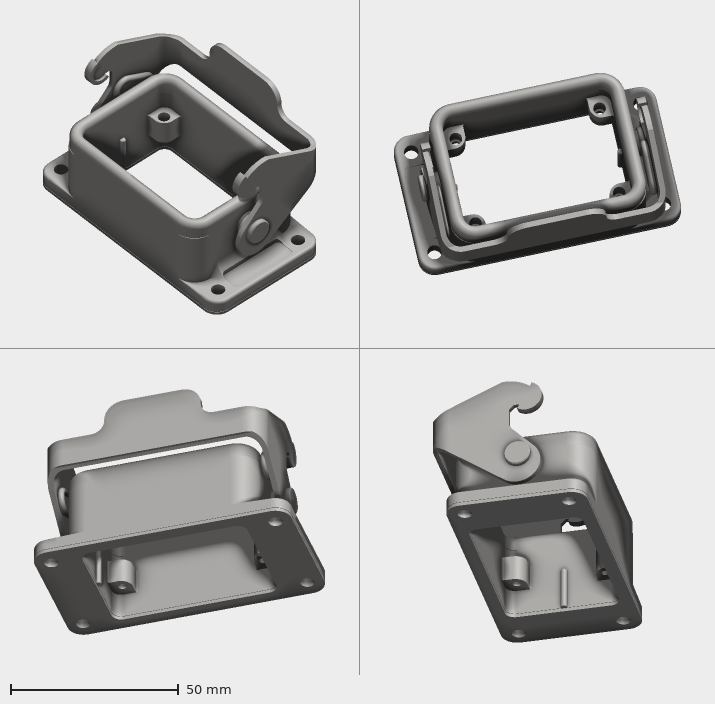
import cadquery as cq
import math


flange_length = 80.0
depth = 43.0
flange_top = 5.2
flange_corner = 5.0
flange_edge_round = 1.0
mount_hole_dia = 4.3
mount_x, mount_y = 35.0, 16.0

gasket_height = 1.0
groove_top = 1.2
groove_depth = 0.2

wall_length = 59.5
wall = 4.1
wall_corner = 7.0
rim_bottom, rim_top = 23.2, 28.6
rim_corner = 7.5

boss_x, boss_y = 21.9, 13.5
boss_reach = 3.0
boss_corner = 3.6
boss_bottom, boss_top = 9.2, 17.2
boss_flare = 0.6
screw_bore_dia, screw_hole_dia = 3.8, 2.5
screw_bore_depth = 6.4

peg_dia, peg_top = 2.0, 14.3
peg_x = 25.4
peg_tip_round = 0.5

ramp_size = 5.0
ramp_half_width = 11.5

recess_inner_x, recess_outer_x = 31.3, 38.4
recess_width = 23.0
recess_depth = 0.2
recess_corner = 1.4

pin_z, pin_dia = 19.0, 8.0
pin_outer_x = 35.8
pin_chamfer = 0.3
collar_dia, collar_inner_x, collar_round = 9.6, 30.9, 0.7

sheet = 1.7
lever_outer_x = 34.2
lever_back_y = 27.3
bend_radius = 6.1
eye_y, eye_z, eye_radius = 0.2, 16.6, 7.0
lower_edge_angle = math.radians(35.2)
back_lower_z, shoulder_z = 26.7, 36.2
shoulder_y = 25.0
peak_y, peak_z = 4.8, 45.0
peak_flat = 1.4
brow_y, brow_z = -0.4, 44.2
throat_y, throat_top_z = 2.7, 36.5
throat_chamfer = 1.5
throat_round = 3.2

hook_y, hook_z = -2.5, 39.2
hook_radius, hook_core_radius = 4.8, 3.4
hook_inner_x = 31.7
hook_start, hook_end = math.radians(111), math.radians(305)

tab_top, tab_half_width = 46.6, 15.0
tab_round, tab_fillet = 5.9, 4.1

ring_front_y, ring_front_z = 6.5, 26.6
ring_back_y, ring_back_z = 13.8, 23.4
ring_dia, ring_wire = 8.6, 2.0
ring_embed = 0.1
plug_dia, plug_height = 4.5, 1.0

taper_tip = 0.02

lever_inner_x = lever_outer_x - sheet
half_depth = depth / 2
inner_half_length = wall_length / 2 - wall
inner_half_depth = half_depth - wall
SIDES = (-1, 1)
CORNERS = [(sx, sy) for sx in SIDES for sy in SIDES]


def rounded_block(length, width, corner, bottom, top):
    block = cq.Workplane("XY").workplane(offset=bottom).rect(length, width).extrude(top - bottom)
    return block.edges("|Z").fillet(corner)


def spandrel(corner, dir_a, dir_b, size):
    """Wire around the space between a square corner and a tangent quarter arc."""
    near = cq.Vector(*corner)
    leg_a = cq.Vector(*dir_a) * size
    leg_b = cq.Vector(*dir_b) * size
    middle = near + (leg_a + leg_b) * (1 - math.sqrt(0.5))
    return cq.Wire.assembleEdges([
        cq.Edge.makeLine(near, near + leg_a),
        cq.Edge.makeThreePointArc(near + leg_a, middle, near + leg_b),
        cq.Edge.makeLine(near + leg_b, near),
    ])


def spandrel_bar(start, end, dir_a, dir_b, size, end_scale=1.0):
    """Fillet-shaped bar along an inside corner, optionally tapering towards its end."""
    wires = [spandrel(start, dir_a, dir_b, size), spandrel(end, dir_a, dir_b, size * end_scale)]
    return cq.Workplane(cq.Solid.makeLoft(wires, True))


def make_flange():
    gasket = rounded_block(flange_length, depth, flange_corner, 0, gasket_height)
    groove_core = rounded_block(flange_length - 2 * groove_depth, depth - 2 * groove_depth,
                                flange_corner - groove_depth, gasket_height, groove_top)
    plate = rounded_block(flange_length, depth, flange_corner, groove_top, flange_top)
    plate = plate.faces(">Z").edges().fillet(flange_edge_round)

    straight_half = flange_length / 2 - flange_corner
    long_sides = (cq.Workplane("XY").workplane(offset=groove_top)
                  .rect(2 * straight_half, depth).extrude(flange_top - groove_top))
    fade_end_x = wall_length / 2 - wall_corner
    for sx, sy in CORNERS:
        fade = spandrel_bar((sx * straight_half, sy * half_depth, flange_top),
                            (sx * fade_end_x, sy * half_depth, flange_top),
                            (0, -sy, 0), (0, 0, -1), flange_edge_round, taper_tip)
        long_sides = long_sides.cut(fade)
    return gasket.union(groove_core).union(plate).union(long_sides)


def make_ramp(side):
    wall_x = side * wall_length / 2
    outward, upward = (side, 0, 0), (0, 0, 1)
    ramp = spandrel_bar((wall_x, -ramp_half_width, flange_top), (wall_x, ramp_half_width, flange_top),
                        outward, upward, ramp_size)
    for sy in SIDES:
        ramp_end = spandrel_bar((wall_x, sy * ramp_half_width, flange_top),
                                (wall_x, sy * (half_depth - wall_corner), flange_top),
                                outward, upward, ramp_size, taper_tip)
        ramp = ramp.union(ramp_end)
    return ramp


def make_marking_recess():
    length = recess_outer_x - recess_inner_x
    return (cq.Workplane("XY").workplane(offset=flange_top - recess_depth)
            .center((recess_inner_x + recess_outer_x) / 2, 0)
            .rect(length, recess_width).extrude(ramp_size + recess_depth)
            .edges("|Z").fillet(recess_corner))


def make_shell():
    walls = rounded_block(wall_length, depth, wall_corner, groove_top, rim_bottom)
    shell = make_flange().union(walls)
    for side in SIDES:
        shell = shell.union(make_ramp(side))
    shell = shell.cut(make_marking_recess())

    opening = rounded_block(2 * inner_half_length, 2 * inner_half_depth, wall_corner - wall,
                            0, rim_bottom)
    inner_groove = rounded_block(2 * (inner_half_length + groove_depth),
                                 2 * (inner_half_depth + groove_depth),
                                 wall_corner - wall + groove_depth, gasket_height, groove_top)
    mount_holes = (cq.Workplane("XY").rect(2 * mount_x, 2 * mount_y, forConstruction=True)
                   .vertices().circle(mount_hole_dia / 2).extrude(flange_top))
    shell = shell.cut(opening).cut(inner_groove).cut(mount_holes)

    return shell.union(make_rim())


def make_rim():
    """Upper part of the walls, fully rounded over its top."""
    half_wall = wall / 2
    middle_y = half_depth - half_wall
    path = (rounded_block(wall_length - wall, depth - wall, rim_corner - half_wall, rim_bottom, rim_top)
            .faces("<Z").wires().val())
    return (cq.Workplane("YZ")
            .moveTo(middle_y - half_wall, rim_bottom)
            .lineTo(middle_y - half_wall, rim_top - half_wall)
            .threePointArc((middle_y, rim_top), (middle_y + half_wall, rim_top - half_wall))
            .lineTo(middle_y + half_wall, rim_bottom)
            .close().sweep(path))


def make_boss(sx, sy):
    """Corner boss for a contact insert screw, flared where it meets the walls."""
    height = boss_top - boss_bottom
    face_x, face_y = boss_x - boss_reach, boss_y - boss_reach
    root_x, root_y = inner_half_length + wall / 4, inner_half_depth + wall / 4
    boss = (cq.Workplane("XY").workplane(offset=boss_bottom)
            .moveTo(sx * root_x, sy * root_y)
            .lineTo(sx * root_x, sy * face_y)
            .lineTo(sx * (face_x + boss_corner), sy * face_y)
            .radiusArc((sx * face_x, sy * (face_y + boss_corner)), sx * sy * boss_corner)
            .lineTo(sx * face_x, sy * root_y)
            .close().extrude(height))
    for x, y in ((face_x, inner_half_depth), (inner_half_length, face_y)):
        flare = spandrel_bar((sx * x, sy * y, boss_bottom), (sx * x, sy * y, boss_top),
                             (-sx, 0, 0), (0, -sy, 0), boss_flare)
        boss = boss.union(flare)
    top = cq.Workplane("XY", origin=(sx * boss_x, sy * boss_y, boss_top))
    bore = top.circle(screw_bore_dia / 2).extrude(-screw_bore_depth)
    hole = top.circle(screw_hole_dia / 2).extrude(-height)
    return boss.cut(bore).cut(hole)


def make_peg(side):
    return (cq.Workplane("XY", origin=(side * peg_x, 0, groove_top))
            .circle(peg_dia / 2).extrude(peg_top - groove_top)
            .faces(">Z").edges().fillet(peg_tip_round))


def make_pin(side):
    """Hinge pin from the end wall through the lever arm, with a rounded collar between them."""
    root_x = wall_length / 2 - wall / 4
    outer_face = ">X" if side > 0 else "<X"
    pin = (cq.Workplane("YZ", origin=(side * root_x, 0, pin_z))
           .circle(pin_dia / 2).extrude(side * (pin_outer_x - root_x))
           .faces(outer_face).edges().chamfer(pin_chamfer))
    collar = (cq.Workplane("YZ", origin=(side * collar_inner_x, 0, pin_z))
              .circle(collar_dia / 2).extrude(side * (lever_inner_x - collar_inner_x))
              .edges().fillet(collar_round))
    return pin.union(collar)


def polar(radius, angle):
    return (hook_y + radius * math.cos(angle), hook_z + radius * math.sin(angle))


def make_lever_sheet():
    """U-shaped strip with the arm outline, plus the finger tab on its back."""
    strip = (cq.Workplane("XY")
             .rect(2 * lever_outer_x, 2 * lever_back_y).extrude(tab_top)
             .edges("|Z and >Y").fillet(bend_radius))
    hollow = (cq.Workplane("XY")
              .rect(2 * lever_inner_x, 2 * (lever_back_y - sheet)).extrude(tab_top)
              .edges("|Z and >Y").fillet(bend_radius - sheet))
    strip = strip.cut(hollow.union(hollow.translate((0, -lever_back_y, 0))))

    bend_y = lever_back_y - bend_radius
    lower_tangent = (eye_y + eye_radius * math.sin(lower_edge_angle),
                     eye_z - eye_radius * math.cos(lower_edge_angle))
    bend_z = lower_tangent[1] + (bend_y - lower_tangent[0]) * math.tan(lower_edge_angle)
    diagonal = eye_radius * math.sqrt(0.5)
    front_tangent = (eye_y - diagonal, eye_z + diagonal)
    throat_bottom_z = front_tangent[1] + throat_y - front_tangent[0]
    eye_bottom = (eye_y, eye_z - eye_radius)
    arm = (cq.Workplane("YZ").workplane(offset=-lever_outer_x)
           .moveTo(lever_back_y, back_lower_z)
           .lineTo(lever_back_y, shoulder_z)
           .lineTo(shoulder_y, shoulder_z)
           .lineTo(peak_y, peak_z)
           .lineTo(peak_y - peak_flat, peak_z)
           .threePointArc((brow_y, brow_z), polar(hook_core_radius, hook_start))
           .threePointArc(polar(hook_core_radius, math.pi), polar(hook_core_radius, hook_end))
           .lineTo(throat_y - throat_chamfer, throat_top_z)
           .lineTo(throat_y, throat_top_z - throat_chamfer)
           .lineTo(throat_y, throat_bottom_z)
           .lineTo(*front_tangent)
           .threePointArc(eye_bottom, lower_tangent)
           .lineTo(bend_y, bend_z)
           .lineTo(lever_back_y - sheet / 2, back_lower_z)
           .close().extrude(2 * lever_outer_x))
    throat_edge = cq.selectors.NearestToPointSelector((0, throat_y, throat_bottom_z))
    arm = arm.edges("|X").edges(throat_edge).fillet(throat_round)
    return strip.intersect(arm).union(make_tab())


def make_tab():
    fillet_end_x = tab_half_width + tab_fillet
    round_start_x = tab_half_width - tab_round
    tab_root_z = shoulder_z - sheet
    return (cq.Workplane("XZ", origin=(0, lever_back_y, 0))
            .moveTo(-fillet_end_x, tab_root_z)
            .lineTo(-fillet_end_x, shoulder_z)
            .radiusArc((-tab_half_width, shoulder_z + tab_fillet), -tab_fillet)
            .lineTo(-tab_half_width, tab_top - tab_round)
            .radiusArc((-round_start_x, tab_top), tab_round)
            .lineTo(round_start_x, tab_top)
            .radiusArc((tab_half_width, tab_top - tab_round), tab_round)
            .lineTo(tab_half_width, shoulder_z + tab_fillet)
            .radiusArc((fillet_end_x, shoulder_z), -tab_fillet)
            .lineTo(fillet_end_x, tab_root_z)
            .close().extrude(sheet))


def make_hook_lip(side):
    """Curved lip around the front of the hook, wider than the sheet."""
    middle = (hook_start + hook_end) / 2
    return (cq.Workplane("YZ", origin=(side * hook_inner_x, 0, 0))
            .moveTo(*polar(hook_core_radius, hook_start))
            .lineTo(*polar(hook_radius, hook_start))
            .threePointArc(polar(hook_radius, middle), polar(hook_radius, hook_end))
            .lineTo(*polar(hook_core_radius, hook_end))
            .threePointArc(polar(hook_core_radius, middle), polar(hook_core_radius, hook_start))
            .close().extrude(side * (lever_outer_x - hook_inner_x)))


def make_arm_ring(side):
    """Rounded oblong ring around a low plug, parallel to the top edge of the arm."""
    run_y, run_z = ring_back_y - ring_front_y, ring_back_z - ring_front_z
    spacing = math.hypot(run_y, run_z)
    tilt = math.degrees(math.atan2(run_z, run_y))
    middle_y, middle_z = (ring_front_y + ring_back_y) / 2, (ring_front_z + ring_back_z) / 2

    def oblong(x, dia):
        return cq.Workplane("YZ", origin=(x, middle_y, middle_z)).slot2D(spacing + dia, dia, tilt)

    wire_radius = ring_wire / 2
    wire_x = side * (lever_inner_x - wire_radius + ring_embed)
    path = oblong(wire_x, ring_dia - ring_wire).val()
    ring = (cq.Workplane(cq.Plane(path.positionAt(0), normal=path.tangentAt(0)))
            .circle(wire_radius).sweep(path))
    plug = oblong(side * lever_inner_x, plug_dia).extrude(-side * plug_height)
    return ring.union(plug)


result = make_shell()
for sx, sy in CORNERS:
    result = result.union(make_boss(sx, sy))
result = result.union(make_lever_sheet())
for side in SIDES:
    for feature in (make_peg, make_pin, make_hook_lip, make_arm_ring):
        result = result.union(feature(side))